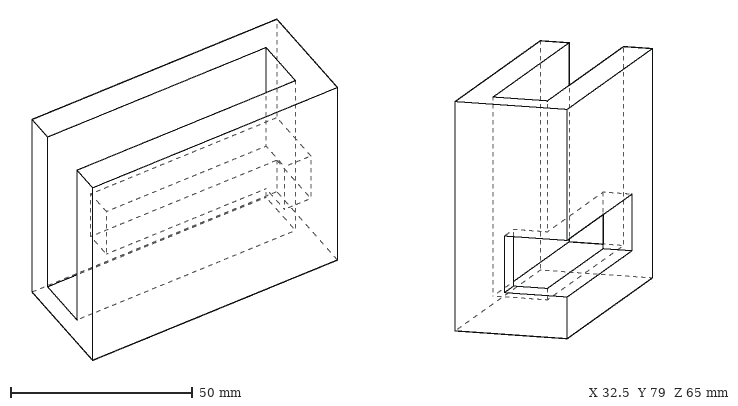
import cadquery as cq

width = 32.5
length = 79.0
height = 65.0

wall = 8.4
floor = 8.6
back_wall = 8.5

notch_depth = 18.2
notch_length = 60.05
notch_bottom = 11.85
notch_height = 16.0


def corner_box(size_x, size_y, size_z, corner):
    """Box with its lowest X, Y and Z corner at the given point."""
    return cq.Workplane("XY").box(size_x, size_y, size_z, centered=False).translate(corner)


block = corner_box(width, length, height, (0, 0, 0))

slot = corner_box(width - 2 * wall, length - back_wall, height - floor, (wall, 0, floor))

notch = corner_box(
    notch_depth, notch_length, notch_height, (0, length - notch_length, notch_bottom)
)

result = block.cut(slot).cut(notch)